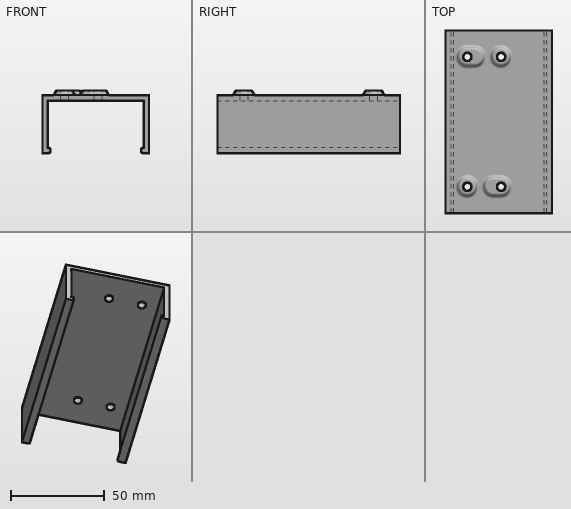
import cadquery as cq
import math

width = 57.0
length = 97.56
channel_height = 31.0
wall = 3.0

lip_radius = 1.5

boss_height = 2.6
boss_top_diameter = 9.0
boss_taper = 20.0
boss_fillet = 1.5
slot_stretch = 4.0
hole_diameter = 4.3
boss_base_diameter = boss_top_diameter + 2 * boss_height * math.tan(math.radians(boss_taper))

hole_spacing_x = 18.0
hole_spacing_y = 69.25
left_hole_x = -16.75
right_hole_x = left_hole_x + hole_spacing_x
row_y = hole_spacing_y / 2


def make_channel():
    """U section with a half-round lip at the foot of each wall."""
    outer = width / 2
    inner = outer - wall
    ceiling = channel_height - wall
    lip_top = 2 * lip_radius
    lip_tip = inner - lip_radius
    section = (
        cq.Workplane("XZ", origin=(0, length / 2, 0))
        .moveTo(-outer, 0)
        .lineTo(-outer, channel_height)
        .lineTo(outer, channel_height)
        .lineTo(outer, 0)
        .lineTo(inner, 0)
        .threePointArc((lip_tip, lip_radius), (inner, lip_top))
        .lineTo(inner, ceiling)
        .lineTo(-inner, ceiling)
        .lineTo(-inner, lip_top)
        .threePointArc((-lip_tip, lip_radius), (-inner, 0))
        .close()
    )
    return section.extrude(length)


def make_boss(x, y, stretch):
    """Tapered boss, round when stretch is zero and otherwise oblong along X."""
    base = cq.Workplane("XY", origin=(x, y, channel_height))
    if stretch:
        outline = base.slot2D(boss_base_diameter + stretch, boss_base_diameter)
    else:
        outline = base.circle(boss_base_diameter / 2)
    boss = outline.extrude(boss_height, taper=boss_taper)
    return boss.faces(">Z").edges().fillet(boss_fillet)


def fillet_boss_feet(body):
    """Blend the foot of every boss into the channel's top face."""
    half_zone = boss_height / 10
    reach_x = hole_spacing_x + boss_base_diameter / 2
    reach_y = row_y + boss_base_diameter
    foot_zone = cq.selectors.BoxSelector(
        (left_hole_x - boss_base_diameter / 2, -reach_y, channel_height - half_zone),
        (left_hole_x + reach_x, reach_y, channel_height + half_zone),
    )
    return body.edges(foot_zone).fillet(boss_fillet)


def make_holes():
    """Through holes for all four bosses."""
    centres = [(x, y) for x in (left_hole_x, right_hole_x) for y in (-row_y, row_y)]
    drills = cq.Workplane("XY").pushPoints(centres).circle(hole_diameter / 2)
    return drills.extrude(channel_height + boss_height)


bosses = [
    (left_hole_x + slot_stretch / 2, row_y, slot_stretch),
    (right_hole_x, row_y, 0),
    (left_hole_x, -row_y, 0),
    (right_hole_x - slot_stretch / 2, -row_y, slot_stretch),
]

body = make_channel()
for x, y, stretch in bosses:
    body = body.union(make_boss(x, y, stretch))
body = fillet_boss_feet(body)
result = body.cut(make_holes())